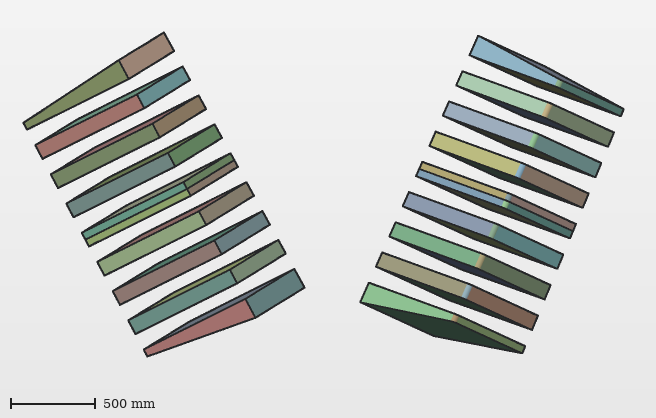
import cadquery as cq
import math

tilt_angle = 31.8
slat_length = 794.0
slat_thickness = 92.0
outer_slat_distance = 1170.0
slats_per_side = 3
pitch = outer_slat_distance / (2 * slats_per_side)

wedge_thin_end = 47.0
wedge_thick_end = 127.0
wedge_seat = (slats_per_side + 1) * pitch - slat_thickness / 2

max_depth = 633.0
back_angle = 3.3
corner_radius = 25.0

tilt_sin = math.sin(math.radians(tilt_angle))
tilt_cos = math.cos(math.radians(tilt_angle))
max_x = slat_length * tilt_cos + (wedge_seat + wedge_thick_end) * tilt_sin
min_x = -(wedge_seat + wedge_thin_end) * tilt_sin
min_depth = max_depth - (max_x - min_x) * math.tan(math.radians(back_angle))
stack_height = slat_length * tilt_sin + (2 * wedge_seat + wedge_thin_end + wedge_thick_end) * tilt_cos

slat_plane = cq.Plane(origin=(0, 0, 0), xDir=(tilt_cos, 0, tilt_sin), normal=(0, -1, 0))


def make_envelope():
    """Block holding the whole stack, with the sloping back face."""
    return (
        cq.Workplane("XY")
        .workplane(offset=-stack_height)
        .polyline([(min_x, 0), (max_x, 0), (max_x, max_depth), (min_x, min_depth)])
        .close()
        .extrude(2 * stack_height)
    )


envelope = make_envelope()


def make_body(outline):
    """Extrude an outline in depth, trim its back and round the lower back corner."""
    blank = cq.Workplane(slat_plane).polyline(outline).close().extrude(-max_depth)
    trimmed = blank.intersect(envelope)
    lower_end_face = trimmed.faces(cq.selectors.DirectionMinMaxSelector(slat_plane.xDir, False))
    return lower_end_face.edges(">Y").fillet(corner_radius)


def make_slat(bottom, thickness):
    """Flat slat whose lower face lies at the given distance across the stack."""
    top = bottom + thickness
    return make_body([(0, bottom), (slat_length, bottom), (slat_length, top), (0, top)])


def make_wedge(side):
    """End wedge, flat towards the stack: side is +1 for the top, -1 for the bottom."""
    seat = side * wedge_seat
    thick_tip = side * (wedge_seat + wedge_thick_end)
    thin_tip = side * (wedge_seat + wedge_thin_end)
    return make_body([(0, seat), (slat_length, seat), (slat_length, thick_tip), (0, thin_tip)])


slats = []
for step in range(1, slats_per_side + 1):
    for side in (-1, 1):
        slats.append(make_slat(side * step * pitch - slat_thickness / 2, slat_thickness))

half_thickness = slat_thickness / 2
half_slats = [make_slat(bottom, half_thickness) for bottom in (-half_thickness, 0)]

wedges = [make_wedge(side) for side in (-1, 1)]

result = cq.Compound.makeCompound([body.solids().val() for body in slats + half_slats + wedges])